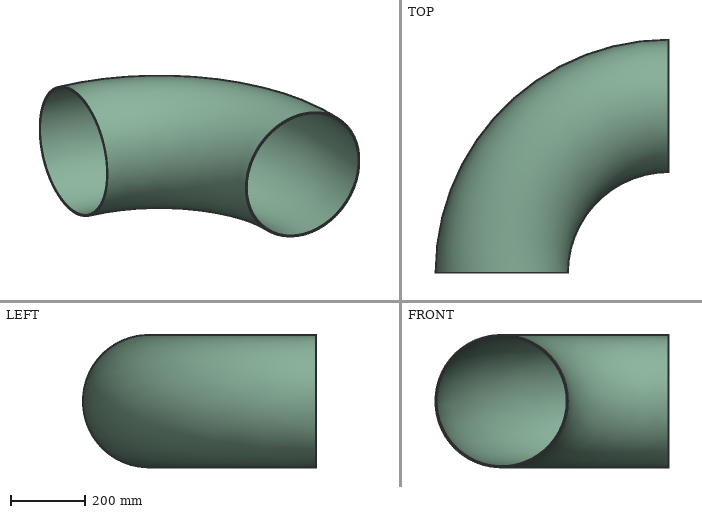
import cadquery as cq

overall_length = 629.0
outer_diameter = 358.0
wall_thickness = 4.0
bend_angle = 90.0

outer_radius = outer_diameter / 2
inner_radius = outer_radius - wall_thickness
bend_radius = overall_length - outer_radius


def pipe_bend():
    """Thin-walled pipe bent about the Z axis, from the -Y opening round to the +X opening."""
    ring = cq.Workplane("XZ").center(-bend_radius, 0).circle(outer_radius).circle(inner_radius)
    axis_start = (bend_radius, 0)
    axis_end = (bend_radius, -1)
    return ring.revolve(bend_angle, axis_start, axis_end)


result = pipe_bend()